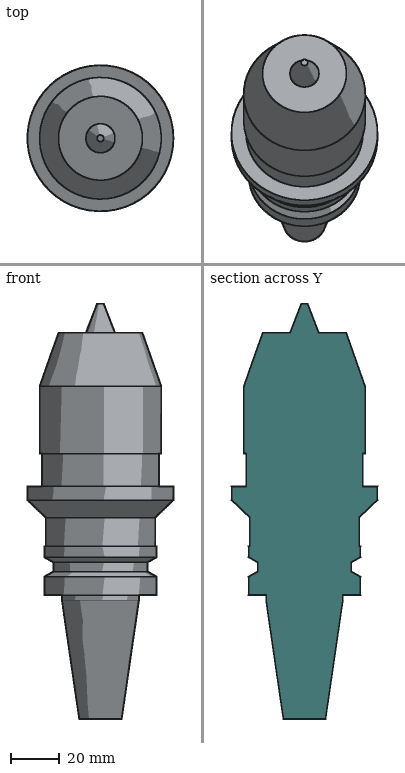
import cadquery as cq

shank_taper_top = 48.7
drive_flange_bottom = 50.8
groove_lower_edge = 58.5
groove_floor_bottom = 60.5
groove_floor_top = 64.2
groove_upper_edge = 66.3
drive_flange_top = 70.9
collar_cone_bottom = 82.6
collar_cone_top = 89.8
collar_top = 95.5
body_top = 108.9
sleeve_top = 136.5
nose_top = 158.5
total_height = 170.4

shank_taper_ratio = 7 / 24
shank_diameter = 31.7
shank_end_diameter = shank_diameter - shank_taper_ratio * shank_taper_top
drive_flange_diameter = 46.0
groove_diameter = 38.7
neck_diameter = 45.0
collar_diameter = 60.0
body_diameter = 48.0
sleeve_diameter = 50.0
nose_diameter = 34.5
point_base_diameter = 12.0
point_tip_diameter = 2.7

sections = [
    (0, shank_taper_top, shank_end_diameter, shank_diameter),
    (shank_taper_top, drive_flange_bottom, shank_diameter, shank_diameter),
    (drive_flange_bottom, groove_lower_edge, drive_flange_diameter, drive_flange_diameter),
    (groove_lower_edge, groove_floor_bottom, drive_flange_diameter, groove_diameter),
    (groove_floor_bottom, groove_floor_top, groove_diameter, groove_diameter),
    (groove_floor_top, groove_upper_edge, groove_diameter, drive_flange_diameter),
    (groove_upper_edge, drive_flange_top, drive_flange_diameter, drive_flange_diameter),
    (drive_flange_top, collar_cone_bottom, neck_diameter, neck_diameter),
    (collar_cone_bottom, collar_cone_top, neck_diameter, collar_diameter),
    (collar_cone_top, collar_top, collar_diameter, collar_diameter),
    (collar_top, body_top, body_diameter, body_diameter),
    (body_top, sleeve_top, sleeve_diameter, sleeve_diameter),
    (sleeve_top, nose_top, sleeve_diameter, nose_diameter),
    (nose_top, total_height, point_base_diameter, point_tip_diameter),
]


def profile_points():
    """Half outline as (radius, height) points, closed along the axis."""
    points = [(0, 0)]
    for bottom, top, bottom_diameter, top_diameter in sections:
        for point in [(bottom_diameter / 2, bottom), (top_diameter / 2, top)]:
            if point != points[-1]:
                points.append(point)
    points.append((0, total_height))
    return points


mid_height = total_height / 2
result = (
    cq.Workplane("XZ")
    .polyline(profile_points())
    .close()
    .revolve(360, (0, 0, 0), (0, 1, 0))
    .translate((0, 0, -mid_height))
)